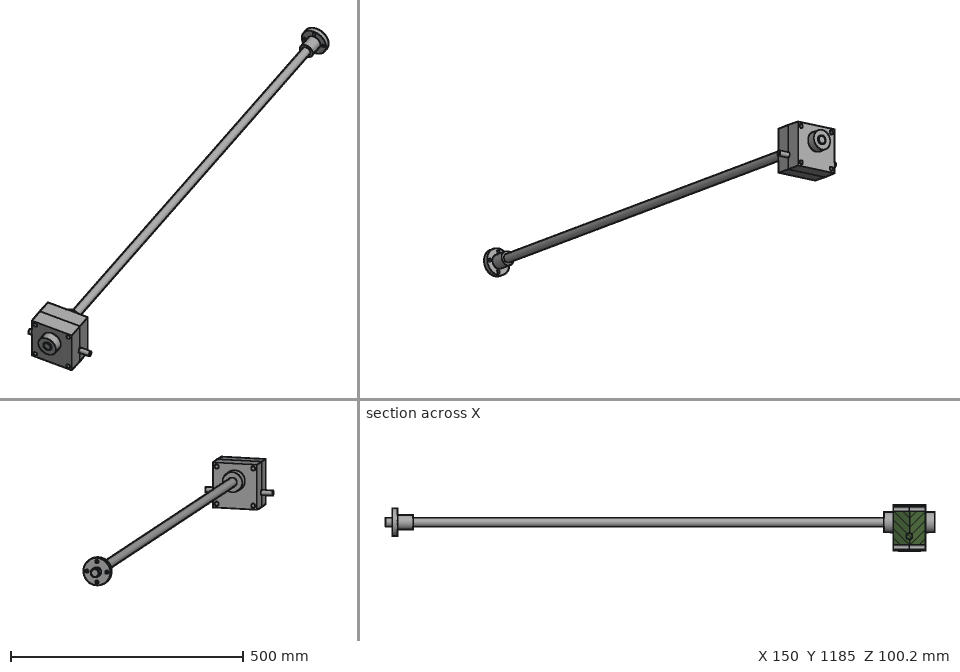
import cadquery as cq

TOTAL_LENGTH = 1185

SCREW_DIAMETER = 20.0
SCREW_CHAMFER = 1.8

SHAFT_DIAMETER = 12.0
SHAFT_LENGTH = 150.0
SHAFT_CLEARANCE = 14.0
CENTRE_HOLE_DIAMETER = 4.1
CENTRE_HOLE_DEPTH = 12.0
COUNTERSINK_DIAMETER = 7.0
COUNTERSINK_DEPTH = 2.0
SHAFT_HEIGHT = -(SCREW_DIAMETER + SHAFT_DIAMETER) / 2 - SHAFT_CLEARANCE

BOLT_HOLE_DIAMETER = 9.0
BOLT_SPACING = 82.0
BOLT_EDGE_DISTANCE = 9.1
HOUSING_SIDE = BOLT_SPACING + 2 * BOLT_EDGE_DISTANCE
HOUSING_LENGTH = 70.0
HOUSING_ABOVE_SHAFT = 18.0
HOUSING_HEIGHT = SHAFT_HEIGHT + HOUSING_ABOVE_SHAFT
HOUSING_DRAFT = 0.8
HUB_DIAMETER = 45.0
HUB_DRAFT = 1.5
LENGTH_OVER_HUBS = 110.0
HALF_LENGTH = HOUSING_LENGTH / 2
HUB_LENGTH = (LENGTH_OVER_HUBS - HOUSING_LENGTH) / 2

SCREW_FOOT = -LENGTH_OVER_HUBS / 2
SCREW_TIP = SCREW_FOOT + TOTAL_LENGTH

NUT_DIAMETER = 32.0
NUT_LENGTH = 45.0
FLANGE_DIAMETER = 60.0
FLANGE_THICKNESS = 12.0
FLANGE_HOLE_DIAMETER = 7.0
FLANGE_HOLE_CIRCLE = 45.0
FLANGE_HOLE_COUNT = 4
SCREW_PAST_NUT = 15.0
NUT_TOP = SCREW_TIP - SCREW_PAST_NUT
NUT_BOTTOM = NUT_TOP - NUT_LENGTH


def cylinder_along_y(diameter, y_start, y_end):
    """Cylinder on the screw axis between two Y positions."""
    plane = cq.Workplane("XZ", origin=(0, y_start, 0))
    return plane.circle(diameter / 2).extrude(y_start - y_end)


def plain_shaft():
    """Shaft as a bare cylinder, which is also the shape of its bore."""
    plane = cq.Workplane("YZ", origin=(0, 0, SHAFT_HEIGHT))
    return plane.circle(SHAFT_DIAMETER / 2).extrude(SHAFT_LENGTH / 2, both=True)


def centre_hole():
    """Countersunk hole going into the shaft from its -X end."""
    mouth = COUNTERSINK_DIAMETER / 2
    wall = CENTRE_HOLE_DIAMETER / 2
    profile = [
        (0, 0),
        (0, mouth),
        (COUNTERSINK_DEPTH, wall),
        (CENTRE_HOLE_DEPTH, wall),
        (CENTRE_HOLE_DEPTH, 0),
    ]
    plane = cq.Workplane("XY", origin=(-SHAFT_LENGTH / 2, 0, SHAFT_HEIGHT))
    return plane.polyline(profile).close().revolve(360, (0, 0), (1, 0))


def make_shaft():
    hole = centre_hole()
    return plain_shaft().cut(hole).cut(hole.mirror("YZ"))


def make_screw():
    screw = cylinder_along_y(SCREW_DIAMETER, SCREW_FOOT, SCREW_TIP)
    return screw.faces("<Y or >Y").chamfer(SCREW_CHAMFER)


def make_housing_half(side):
    """Half of the housing towards -Y (side = -1) or +Y (side = 1)."""
    base = cq.Workplane("XZ", origin=(0, 0, HOUSING_HEIGHT))
    body = base.rect(HOUSING_SIDE, HOUSING_SIDE).extrude(-side * HALF_LENGTH, taper=HOUSING_DRAFT)

    hub_base = cq.Workplane("XZ", origin=(0, side * HALF_LENGTH, 0))
    hub = hub_base.circle(HUB_DIAMETER / 2).extrude(-side * HUB_LENGTH, taper=HUB_DRAFT)

    corners = base.rect(BOLT_SPACING, BOLT_SPACING, forConstruction=True).vertices()
    bolt_holes = corners.circle(BOLT_HOLE_DIAMETER / 2).extrude(-side * HALF_LENGTH)
    screw_bore = cylinder_along_y(SCREW_DIAMETER, 0, side * LENGTH_OVER_HUBS / 2)
    return body.union(hub).cut(bolt_holes).cut(screw_bore).cut(plain_shaft())


def make_nut():
    barrel = cylinder_along_y(NUT_DIAMETER, NUT_BOTTOM, NUT_TOP)
    flange = cylinder_along_y(FLANGE_DIAMETER, NUT_TOP - FLANGE_THICKNESS, NUT_TOP)
    flange_face = cq.Workplane("XZ", origin=(0, NUT_TOP, 0))
    hole_centres = flange_face.polarArray(FLANGE_HOLE_CIRCLE / 2, 0, 360, FLANGE_HOLE_COUNT)
    flange_holes = hole_centres.circle(FLANGE_HOLE_DIAMETER / 2).extrude(FLANGE_THICKNESS)
    bore = cylinder_along_y(SCREW_DIAMETER, NUT_BOTTOM, NUT_TOP)
    return barrel.union(flange).cut(flange_holes).cut(bore)


housing_halves = [make_housing_half(side) for side in (-1, 1)]
screw = make_screw()
shaft = make_shaft()
nut = make_nut()

result = cq.Compound.makeCompound([
    *[half.val() for half in housing_halves],
    screw.val(),
    shaft.val(),
    nut.val(),
])